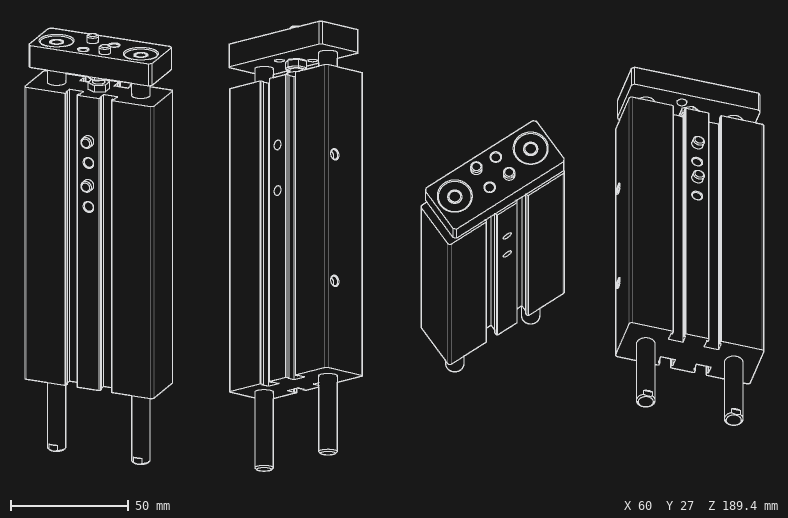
import cadquery as cq
import math

TOTAL_HEIGHT = 189.4
HOUSING_BOTTOM = 34.0
HOUSING_HEIGHT = 133.3
HOUSING_TOP = HOUSING_BOTTOM + HOUSING_HEIGHT
PIN_PROTRUSION = 3.0
PLATE_THICKNESS = 10.0
PLATE_TOP = TOTAL_HEIGHT - PIN_PROTRUSION
PLATE_BOTTOM = PLATE_TOP - PLATE_THICKNESS

HOUSING_WIDTH = 60.0
HOUSING_DEPTH = 22.0
HOUSING_FRONT = -HOUSING_DEPTH / 2
HOUSING_FILLET = 1.1

SLOT_OFFSET = 8.0
SLOT_MOUTH_WIDTH = 5.1
SLOT_INNER_WIDTH = 6.5
SLOT_LIP = 1.7
SLOT_DEPTH = 5.3
SLOT_CHAMFER = 0.4

PIN_DIAMETER = 5.0
PIN_CHAMFER = 0.5
PIN_EMBEDDED = 5.0
HOLE_DIAMETER = 4.2
HOLE_CHAMFER = (PIN_DIAMETER - HOLE_DIAMETER) / 2
HOLE_PITCH = 10.0
FRONT_HOLE_COUNT = 4
FIRST_FRONT_HOLE_DROP = 20.0
FRONT_HOLE_HEIGHTS = [
    HOUSING_TOP - FIRST_FRONT_HOLE_DROP - i * HOLE_PITCH for i in range(FRONT_HOLE_COUNT)
]
FRONT_PIN_HEIGHTS = FRONT_HOLE_HEIGHTS[0::2]
FRONT_OPEN_HEIGHTS = FRONT_HOLE_HEIGHTS[1::2]

PORT_END_DISTANCE = 38.8
PORT_Y = 6.0
PORT_DIAMETER = 4.2
PORT_RIM_DIAMETER = 5.0
PORT_CHAMFER = (PORT_RIM_DIAMETER - PORT_DIAMETER) / 2
PORT_DEPTH = 2.8
PORT_CONE_DEPTH = 1.1
PORT_HEIGHTS = [HOUSING_BOTTOM + PORT_END_DISTANCE, HOUSING_TOP - PORT_END_DISTANCE]

ROD_DIAMETER = 8.0
ROD_SPACING = 39.2
ROD_OFFSET = ROD_SPACING / 2
ROD_CHAMFER = 0.8
ROD_FLAT_LENGTH = 3.0
ROD_FLAT_WIDTH = 4.0
STUD_DIAMETER = 6.0
STUD_CHAMFER = 0.5

PLATE_WIDTH = 57.4
PLATE_FRONT = -10.0
PLATE_BACK = 13.0
PLATE_DEPTH = PLATE_BACK - PLATE_FRONT
PLATE_CHAMFER = 1.1
RECESS_DIAMETER = 15.0
RECESS_FLOOR_DIAMETER = 14.0
RECESS_DEPTH = 0.5
RECESS_FLOOR = PLATE_TOP - RECESS_DEPTH
PLATE_PIN_POINTS = [(-HOLE_PITCH / 2, HOLE_PITCH / 2), (HOLE_PITCH / 2, -HOLE_PITCH / 2)]
PLATE_OPEN_POINTS = [(HOLE_PITCH / 2, HOLE_PITCH / 2), (-HOLE_PITCH / 2, -HOLE_PITCH / 2)]

HEX_WIDTH = 8.1
HEX_CORNERS = HEX_WIDTH / math.cos(math.pi / 6)
NECK_DIAMETER = 5.3
LOWER_HEX_HEIGHT = 3.0
UPPER_HEX_HEIGHT = 4.0
HEX_CHAMFER = 0.5


def cylinder(diameter, start, end):
    """A round bar from start to end."""
    axis = cq.Vector(*end) - cq.Vector(*start)
    return cq.Workplane(cq.Solid.makeCylinder(diameter / 2, axis.Length, cq.Vector(*start), axis))


def cone(diameter, end_diameter, length, start, direction):
    """A cone of the given end diameters, running from start along direction."""
    solid = cq.Solid.makeCone(
        diameter / 2, end_diameter / 2, length, cq.Vector(*start), cq.Vector(*direction)
    )
    return cq.Workplane(solid)


def chamfered_through_hole(start, direction, length):
    """Cutter for a through hole whose rim at start is chamfered."""
    end = tuple(s + d * length for s, d in zip(start, direction))
    bore = cylinder(HOLE_DIAMETER, start, end)
    rim = cone(PIN_DIAMETER, HOLE_DIAMETER, HOLE_CHAMFER, start, direction)
    return bore.union(rim)


def t_slot(x):
    """Cutter for one front T-slot with a chamfered mouth, the full height of the housing."""
    mouth = SLOT_MOUTH_WIDTH / 2
    inner = SLOT_INNER_WIDTH / 2
    half_profile = [
        (mouth + SLOT_CHAMFER, 0),
        (mouth, SLOT_CHAMFER),
        (mouth, SLOT_LIP),
        (inner, SLOT_LIP),
        (inner, SLOT_DEPTH),
    ]
    mirrored = [(-px, py) for px, py in reversed(half_profile)]
    profile = cq.Workplane("XY").polyline(half_profile + mirrored).close().extrude(HOUSING_HEIGHT)
    return profile.translate((x, HOUSING_FRONT, HOUSING_BOTTOM))


def side_port(z):
    """Cutter for a blind port in the -X side with a chamfered rim and a conical bottom."""
    side = -HOUSING_WIDTH / 2
    rim = cone(PORT_RIM_DIAMETER, PORT_DIAMETER, PORT_CHAMFER, (side, PORT_Y, z), (1, 0, 0))
    bore = cylinder(PORT_DIAMETER, (side, PORT_Y, z), (side + PORT_DEPTH, PORT_Y, z))
    bottom = cone(PORT_DIAMETER, 0, PORT_CONE_DEPTH, (side + PORT_DEPTH, PORT_Y, z), (1, 0, 0))
    return rim.union(bore).union(bottom)


def make_pin(outer_end, direction):
    """A locating pin with a chamfered outer end; direction points out of the part."""
    length = PIN_EMBEDDED + PIN_PROTRUSION
    start = tuple(e - d * length for e, d in zip(outer_end, direction))
    shoulder = tuple(e - d * PIN_CHAMFER for e, d in zip(outer_end, direction))
    shank = cylinder(PIN_DIAMETER, start, shoulder)
    tip = cone(PIN_DIAMETER, PIN_DIAMETER - 2 * PIN_CHAMFER, PIN_CHAMFER, shoulder, direction)
    return shank.union(tip)


def make_guide_rod(x):
    """A guide rod with a plain stud on top and a wrench flat at its lower end."""
    rod = cylinder(ROD_DIAMETER, (x, 0, 0), (x, 0, PLATE_BOTTOM)).faces("<Z").chamfer(ROD_CHAMFER)
    flat_y = -math.sqrt((ROD_DIAMETER / 2) ** 2 - (ROD_FLAT_WIDTH / 2) ** 2)
    flat = cq.Workplane("XY").box(
        ROD_DIAMETER, ROD_DIAMETER, ROD_FLAT_LENGTH, centered=(True, False, False)
    ).translate((x, flat_y - ROD_DIAMETER, 0))
    stud = cylinder(STUD_DIAMETER, (x, 0, PLATE_BOTTOM), (x, 0, RECESS_FLOOR))
    return rod.cut(flat).union(stud.faces(">Z").chamfer(STUD_CHAMFER))


def make_housing(front_pins, rods):
    """The extruded housing with its slots, bores, ports and pin holes."""
    housing = (
        cq.Workplane("XY")
        .box(HOUSING_WIDTH, HOUSING_DEPTH, HOUSING_HEIGHT, centered=(True, True, False))
        .translate((0, 0, HOUSING_BOTTOM))
        .edges("|Z")
        .fillet(HOUSING_FILLET)
    )
    for x in (-SLOT_OFFSET, SLOT_OFFSET):
        slot = t_slot(x)
        housing = housing.cut(slot).cut(slot.mirror("XZ"))
    for z in PORT_HEIGHTS:
        housing = housing.cut(side_port(z))
    for z in FRONT_OPEN_HEIGHTS:
        housing = housing.cut(chamfered_through_hole((0, HOUSING_FRONT, z), (0, 1, 0), HOUSING_DEPTH))
    for body in front_pins + rods:
        housing = housing.cut(body)
    return housing


def hexagon(bottom, height):
    """A hexagonal nut shape on the Z axis with corners toward -Y and +Y."""
    prism = cq.Workplane("XY").polygon(6, HEX_CORNERS).extrude(height)
    return prism.rotate((0, 0, 0), (0, 0, 1), 90).translate((0, 0, bottom))


def make_coupling():
    """The two hexagons and the neck that join the end plate to the top of the housing."""
    neck = cylinder(NECK_DIAMETER, (0, 0, HOUSING_TOP), (0, 0, PLATE_BOTTOM))
    lower_hex = hexagon(HOUSING_TOP, LOWER_HEX_HEIGHT)
    upper_hex = hexagon(PLATE_BOTTOM - UPPER_HEX_HEIGHT, UPPER_HEX_HEIGHT)
    upper_hex = upper_hex.faces("<Z or >Z").chamfer(HEX_CHAMFER)
    return neck.union(lower_hex).union(upper_hex)


def make_end_plate(plate_pins):
    """The end plate with the piston rod coupling below it."""
    plate = (
        cq.Workplane("XY")
        .box(PLATE_WIDTH, PLATE_DEPTH, PLATE_THICKNESS, centered=(True, False, False))
        .translate((0, PLATE_FRONT, PLATE_BOTTOM))
        .edges("|Z")
        .chamfer(PLATE_CHAMFER)
    )
    for x, y in PLATE_OPEN_POINTS:
        plate = plate.cut(chamfered_through_hole((x, y, PLATE_TOP), (0, 0, -1), PLATE_THICKNESS))
    for x in (-ROD_OFFSET, ROD_OFFSET):
        recess = cone(RECESS_FLOOR_DIAMETER, RECESS_DIAMETER, RECESS_DEPTH, (x, 0, RECESS_FLOOR), (0, 0, 1))
        plate = plate.cut(recess)
        plate = plate.cut(cylinder(STUD_DIAMETER, (x, 0, PLATE_BOTTOM), (x, 0, RECESS_FLOOR)))
    for pin in plate_pins:
        plate = plate.cut(pin)
    return plate.union(make_coupling())


front_pins = [make_pin((0, HOUSING_FRONT - PIN_PROTRUSION, z), (0, -1, 0)) for z in FRONT_PIN_HEIGHTS]
plate_pins = [make_pin((x, y, TOTAL_HEIGHT), (0, 0, 1)) for x, y in PLATE_PIN_POINTS]
guide_rods = [make_guide_rod(x) for x in (-ROD_OFFSET, ROD_OFFSET)]
housing = make_housing(front_pins, guide_rods)
end_plate = make_end_plate(plate_pins)

bodies = [housing, end_plate] + guide_rods + front_pins + plate_pins
result = cq.Compound.makeCompound([body.val() for body in bodies])